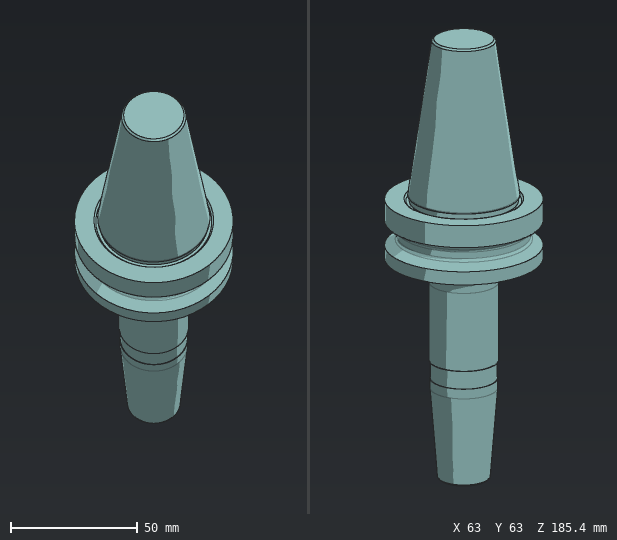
import cadquery as cq
import math

total_height = 185.4
flange_bottom = 92.9
flange_top = 118.0
gauge_height = 120.0
lower_land_top = 98.5
upper_land_bottom = 108.6
relief_bottom = 42.3
relief_top = 49.9
nose_cone_top = 38.2

flange_radius = 31.5
gauge_radius = 22.2
taper_slope = 7 / 48
neck_radius = 21.7
face_groove_radius = 23.7
face_groove_floor_radius = 23.0
grip_groove_radius = 26.5
shank_radius = 13.9
relief_radius = 13.3
nose_top_radius = 13.5
nose_radius = 10.5

face_groove_depth = 1.0
gauge_land = 0.5
taper_chamfer = 0.7
nose_chamfer = 0.7
shank_fillet = 10.0
grip_groove_fillet = 1.5
groove_wall_height = (flange_radius - grip_groove_radius) * math.tan(math.radians(30))

taper_end_radius = gauge_radius - (total_height - gauge_height) * taper_slope
taper_end_edge = taper_end_radius + taper_chamfer * taper_slope
arc_offset = shank_fillet * (1 - math.sqrt(0.5))


def revolve_profile(profile):
    """Revolve a closed radius-height outline about the Z axis."""
    return profile.close().revolve(360, (0, 0, 0), (0, 1, 0))


def make_taper():
    """Steep taper with its neck, standing on the flange axis."""
    return revolve_profile(
        cq.Workplane("XZ")
        .moveTo(0, flange_bottom)
        .lineTo(neck_radius, flange_bottom)
        .lineTo(neck_radius, gauge_height - gauge_land)
        .lineTo(gauge_radius, gauge_height - gauge_land)
        .lineTo(gauge_radius, gauge_height)
        .lineTo(taper_end_edge, total_height - taper_chamfer)
        .lineTo(taper_end_radius - taper_chamfer, total_height)
        .lineTo(0, total_height)
    )


def make_flange():
    """Gripper flange with a V groove on its rim and a shallow groove in its top face."""
    flange = revolve_profile(
        cq.Workplane("XZ")
        .moveTo(0, flange_bottom)
        .lineTo(flange_radius, flange_bottom)
        .lineTo(flange_radius, lower_land_top)
        .lineTo(grip_groove_radius, lower_land_top + groove_wall_height)
        .lineTo(grip_groove_radius, upper_land_bottom - groove_wall_height)
        .lineTo(flange_radius, upper_land_bottom)
        .lineTo(flange_radius, flange_top)
        .lineTo(0, flange_top)
    )
    groove_corners = cq.selectors.RadiusNthSelector(0)
    flange = flange.edges(groove_corners).fillet(grip_groove_fillet)
    face_groove = revolve_profile(
        cq.Workplane("XZ")
        .moveTo(neck_radius, flange_top)
        .lineTo(neck_radius, flange_top - face_groove_depth)
        .lineTo(face_groove_floor_radius, flange_top - face_groove_depth)
        .lineTo(face_groove_radius, flange_top)
    )
    return flange.cut(face_groove)


def make_shank():
    """Shank with a concave blend into the flange, a relief and a tapered nose."""
    return revolve_profile(
        cq.Workplane("XZ")
        .moveTo(0, 0)
        .lineTo(nose_radius - nose_chamfer, 0)
        .lineTo(nose_radius, nose_chamfer)
        .lineTo(nose_top_radius, nose_cone_top)
        .lineTo(nose_top_radius, relief_bottom)
        .lineTo(relief_radius, relief_bottom)
        .lineTo(relief_radius, relief_top)
        .lineTo(shank_radius, relief_top)
        .lineTo(shank_radius, flange_bottom - shank_fillet)
        .threePointArc(
            (shank_radius + arc_offset, flange_bottom - arc_offset),
            (shank_radius + shank_fillet, flange_bottom),
        )
        .lineTo(0, flange_bottom)
    )


result = make_flange().union(make_taper()).union(make_shank())